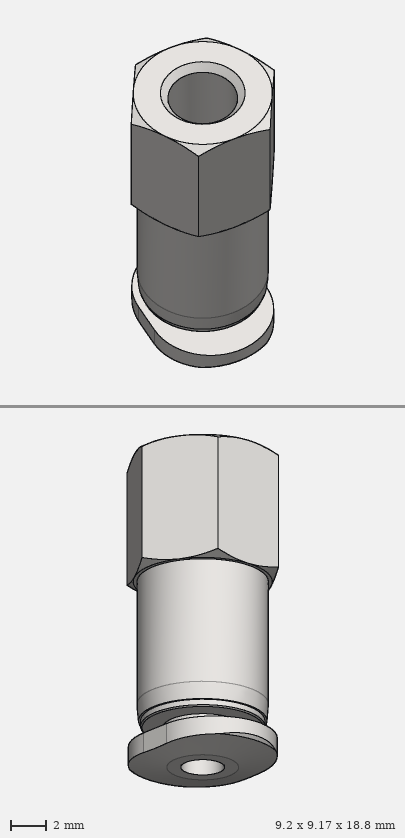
import cadquery as cq
import math

total_height = 18.8

hex_across_flats = 7.94
hex_height = 7.5
hex_half_sector = 30.0
hex_chamfer_angle = 30.0
hex_bottom = total_height - hex_height

body_diameter = 7.5
shoulder_top = 3.84
shoulder_inset = 0.08
collar_diameter = 7.1
collar_top = 2.82
collar_bottom = 2.41
collar_chamfer = 0.08

flange_length = 9.2
flange_width = 7.2
flange_top = 1.5
flange_face_diameter = 4.1
flange_cone_angle = 10.0
flange_rim_diameter = 8.9
flange_rim_height = 0.22
neck_diameter = 4.58
neck_fillet = 0.35

through_diameter = 2.5
thread_diameter = 3.97
thread_depth = 6.0
thread_mouth_diameter = 4.83


def make_hex_head():
    """Hexagonal prism whose corners are turned off conically at both ends."""
    flat_radius = hex_across_flats / 2
    corner_radius = flat_radius / math.cos(math.radians(hex_half_sector))
    corner_drop = (corner_radius - flat_radius) * math.tan(math.radians(hex_chamfer_angle))
    prism = (
        cq.Workplane("XY", origin=(0, 0, hex_bottom))
        .polygon(6, 2 * corner_radius)
        .extrude(hex_height)
        .rotate((0, 0, 0), (0, 0, 1), hex_half_sector)
    )
    turned_blank = (
        cq.Workplane("XZ")
        .moveTo(0, hex_bottom)
        .lineTo(flat_radius, hex_bottom)
        .lineTo(corner_radius, hex_bottom + corner_drop)
        .lineTo(corner_radius, total_height - corner_drop)
        .lineTo(flat_radius, total_height)
        .lineTo(0, total_height)
        .close()
        .revolve(360, (0, 0, 0), (0, 1, 0))
    )
    return prism.intersect(turned_blank)


def shoulder_radius():
    """Radius of the shoulder arc that meets the cylinder tangentially."""
    height = shoulder_top - collar_top
    return (height**2 + shoulder_inset**2) / (2 * shoulder_inset)


def make_body():
    """Turned body: collar, rounded shoulder and straight cylinder."""
    body_radius = body_diameter / 2
    collar_radius = collar_diameter / 2
    return (
        cq.Workplane("XZ")
        .moveTo(0, collar_bottom)
        .lineTo(collar_radius - collar_chamfer, collar_bottom)
        .lineTo(collar_radius, collar_bottom + collar_chamfer)
        .lineTo(collar_radius, collar_top)
        .lineTo(body_radius - shoulder_inset, collar_top)
        .radiusArc((body_radius, shoulder_top), -shoulder_radius())
        .lineTo(body_radius, hex_bottom)
        .lineTo(0, hex_bottom)
        .close()
        .revolve(360, (0, 0, 0), (0, 1, 0))
    )


def make_flange():
    """Slot-shaped plate with a shallow conical underside and a turned rim."""
    face_radius = flange_face_diameter / 2
    rim_radius = flange_rim_diameter / 2
    tip_radius = flange_length / 2
    rim_bottom = (rim_radius - face_radius) * math.tan(math.radians(flange_cone_angle))
    plate = cq.Workplane("XY").slot2D(flange_length, flange_width).extrude(flange_top)
    turned_blank = (
        cq.Workplane("XZ")
        .lineTo(face_radius, 0)
        .lineTo(rim_radius, rim_bottom)
        .lineTo(tip_radius, rim_bottom + flange_rim_height)
        .lineTo(tip_radius, flange_top)
        .lineTo(0, flange_top)
        .close()
        .revolve(360, (0, 0, 0), (0, 1, 0))
    )
    return plate.intersect(turned_blank)


def make_neck():
    """Round neck that flares out onto the flange."""
    neck_radius = neck_diameter / 2
    return (
        cq.Workplane("XZ")
        .moveTo(0, flange_top)
        .lineTo(neck_radius + neck_fillet, flange_top)
        .radiusArc((neck_radius, flange_top + neck_fillet), neck_fillet)
        .lineTo(neck_radius, collar_bottom)
        .lineTo(0, collar_bottom)
        .close()
        .revolve(360, (0, 0, 0), (0, 1, 0))
    )


def make_bores():
    """Through bore, wider threaded bore from the top and its 45 degree mouth."""
    thread_radius = thread_diameter / 2
    mouth_radius = thread_mouth_diameter / 2
    through_radius = through_diameter / 2
    return (
        cq.Workplane("XZ")
        .lineTo(through_radius, 0)
        .lineTo(through_radius, total_height - thread_depth)
        .lineTo(thread_radius, total_height - thread_depth)
        .lineTo(thread_radius, total_height - (mouth_radius - thread_radius))
        .lineTo(mouth_radius, total_height)
        .lineTo(0, total_height)
        .close()
        .revolve(360, (0, 0, 0), (0, 1, 0))
    )


solid_part = make_flange().union(make_neck()).union(make_body()).union(make_hex_head())
result = solid_part.cut(make_bores())